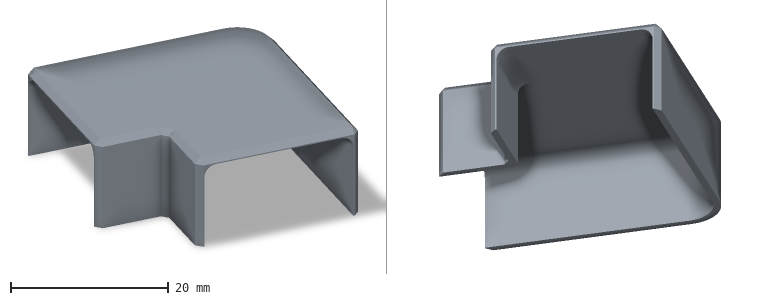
import cadquery as cq

side = 32.3
height = 12.5
leg_width = 22.62
wall = 0.97
bend_radius = 5.27
edge_chamfer = 0.8
cavity_fillet = 1.65
overrun = 3.23


def elbow(inset, end_extension, top):
    """L-shaped block inset from the side walls, its two ends moved outward."""
    right = side + end_extension
    front = -end_extension
    near = inset
    far = side - inset
    leg_x = leg_width - inset
    leg_y = side - leg_width + inset
    outline = [
        (near, front),
        (leg_x, front),
        (leg_x, leg_y),
        (right, leg_y),
        (right, far),
        (near, far),
    ]
    block = cq.Workplane("XY").polyline(outline).close().extrude(top)
    bend = cq.selectors.NearestToPointSelector((near, far, top / 2))
    return block.edges(bend).fillet(bend_radius - inset)


body = elbow(0, 0, height)
upright_edges = cq.selectors.BoxSelector((leg_width / 2, -0.32, 0), (side + 0.32, side + 0.32, height))
left_front_edge = cq.selectors.NearestToPointSelector((0, 0, height / 2))
upright_corners = body.edges("|Z").edges(upright_edges).add(body.edges(left_front_edge))
body = body.faces(">Z").edges().add(upright_corners).chamfer(edge_chamfer)

cavity = elbow(wall, overrun, height - wall)
inner_corner = (leg_width - wall, side - leg_width + wall, height / 2)
cavity = cavity.edges(cq.selectors.NearestToPointSelector(inner_corner)).chamfer(edge_chamfer)
cavity = cavity.faces(">Z").edges().fillet(cavity_fillet)

result = body.cut(cavity)